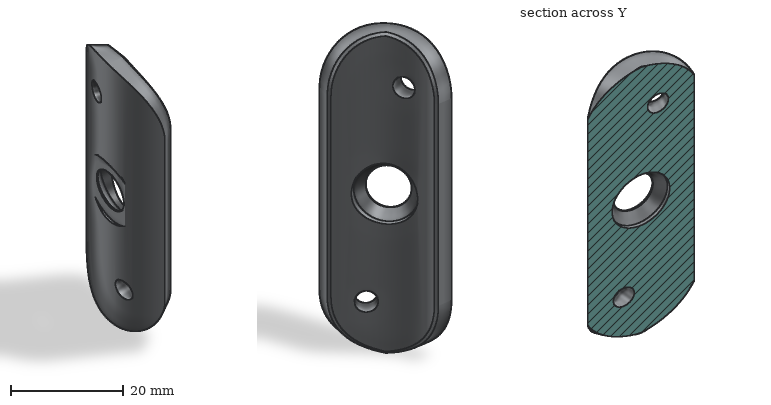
import cadquery as cq
import math

length = 64.0
width = 24.0
outer_radius = 20.5
thickness = 3.8
corner_radius = width / 2
back_chamfer = 0.5

seat_diameter = 14.0
seat_depth = 0.5
bore_diameter = 8.3
lip_thickness = 0.3
back_bore_diameter = 12.0

screw_diameter = 4.2
screw_offset_x = 4.2
screw_offset_z = 21.5

inner_radius = outer_radius - thickness
half_angle = math.degrees(math.asin(width / 2 / outer_radius))
reach = 2 * outer_radius


def tube_wall():
    """Tube around the Z direction, touching the plane Y = 0 at X = 0."""
    return (
        cq.Workplane("XY")
        .center(0, outer_radius)
        .circle(outer_radius)
        .circle(inner_radius)
        .extrude(length / 2, both=True)
    )


def radial_plane(angle):
    """Plane through the tube axis, facing outwards at an angle from -Y, with local x along the tangent."""
    turn = math.radians(angle)
    outward = (math.sin(turn), -math.cos(turn), 0)
    tangent = (math.cos(turn), math.sin(turn), 0)
    return cq.Plane(origin=(0, outer_radius, 0), xDir=tangent, normal=outward)


def side_limit(side):
    """Prism along one side's radius that gives its flat side face and two rounded corners."""
    corner_x = -side * corner_radius
    straight_z = length / 2 - corner_radius
    diagonal = corner_radius * math.sqrt(0.5)
    return (
        cq.Workplane(radial_plane(side * half_angle))
        .moveTo(0, -straight_z)
        .lineTo(0, straight_z)
        .threePointArc((corner_x + side * diagonal, straight_z + diagonal), (corner_x, length / 2))
        .lineTo(-side * reach, length / 2)
        .lineTo(-side * reach, -length / 2)
        .lineTo(corner_x, -length / 2)
        .threePointArc((corner_x + side * diagonal, -straight_z - diagonal), (0, -straight_z))
        .close()
        .extrude(reach)
    )


def blank_plate():
    plate = tube_wall()
    for side in (-1, 1):
        plate = plate.intersect(side_limit(side))
    back_face = plate.faces(cq.selectors.NearestToPointSelector((0, thickness, 0)))
    return back_face.edges().chamfer(back_chamfer)


def cylinder_along_y(diameter, start, end):
    return cq.Workplane("XZ", origin=(0, start, 0)).circle(diameter / 2).extrude(start - end)


def back_bore():
    """Larger bore from the back, narrowed to the front bore by a 45 degree cone behind a thin lip."""
    cone_start = seat_depth + lip_thickness
    cone_end = cone_start + (back_bore_diameter - bore_diameter) / 2
    return (
        cq.Workplane("XY")
        .moveTo(0, cone_start)
        .lineTo(bore_diameter / 2, cone_start)
        .lineTo(back_bore_diameter / 2, cone_end)
        .lineTo(back_bore_diameter / 2, reach)
        .lineTo(0, reach)
        .close()
        .revolve(360, (0, 0, 0), (0, 1, 0))
    )


def screw_hole(side):
    angle = math.degrees(math.asin(screw_offset_x / outer_radius))
    return (
        cq.Workplane(radial_plane(side * angle))
        .center(0, -side * screw_offset_z)
        .circle(screw_diameter / 2)
        .extrude(reach)
    )


result = blank_plate()
result = result.cut(cylinder_along_y(seat_diameter, -reach, seat_depth))
result = result.cut(cylinder_along_y(bore_diameter, -reach, reach))
result = result.cut(back_bore())
for side in (-1, 1):
    result = result.cut(screw_hole(side))